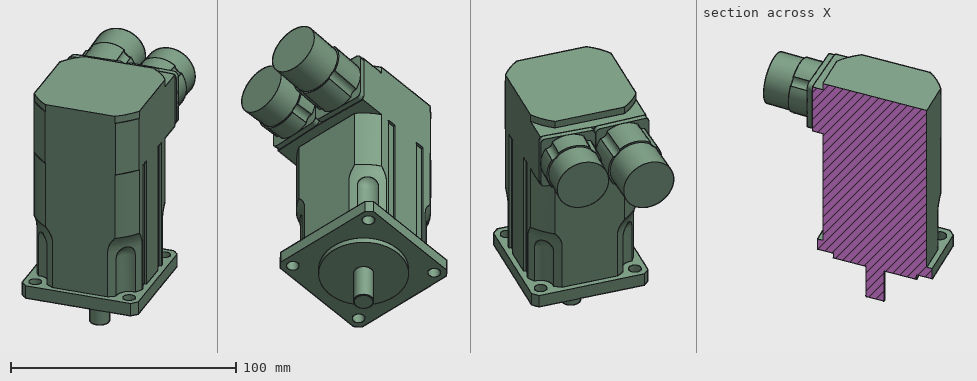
import cadquery as cq
import math


flange_width = 55.0
flange_corner_diameter = 74.1
flange_thickness = 6.2
hole_diameter = 5.6
hole_circle_diameter = 63.0
spigot_diameter = 40.0
spigot_height = 2.7
shaft_diameter = 9.0
shaft_end_z = -20.1
shaft_chamfer = 0.4

barrel_width = 49.8
barrel_corner_diameter = 59.7
total_height = 117.0
motor_top_z = shaft_end_z + total_height
waist_diameter = 56.3
waist_straight_z = 28.7
waist_top_z = 35.9

pocket_radius = 6.0
pocket_straight_z = 24.9

groove_width = 4.3
groove_offset = 9.5
groove_depth = 1.0

block_bottom_z = 67.6
block_height = 25.7
block_top_z = block_bottom_z + block_height
block_front_chamfer = 8.2
wedge_apex_y = 30.0
wedge_angle = 2.0

connector_z = 80.7
plate_width = 25.5
plate_thickness = 2.6
plate_corner_radius = 2.3
collar_diameter = 25.6
plug_diameter = 24.0
notch_radius = 3.0
power_collar_length = 15.2
power_plug_length = 16.3
signal_collar_length = 9.1
signal_plug_length = 12.4


def square_column(width, corner_diameter, bottom_z, top_z):
    """Square column with its four edges rounded by a concentric cylinder."""
    height = top_z - bottom_z
    square = cq.Workplane("XY", origin=(0, 0, bottom_z)).rect(width, width).extrude(height)
    cylinder = cq.Workplane("XY", origin=(0, 0, bottom_z)).circle(corner_diameter / 2).extrude(height)
    return square.intersect(cylinder)


def hole_points():
    """Centres of the four flange holes, on the diagonals."""
    offset = hole_circle_diameter / 2 / math.sqrt(2)
    return [(sx * offset, sy * offset) for sx in (-1, 1) for sy in (-1, 1)]


def make_flange():
    """Flange with its holes, spigot and shaft."""
    flange = square_column(flange_width, flange_corner_diameter, 0, flange_thickness)
    holes = cq.Workplane("XY").pushPoints(hole_points()).circle(hole_diameter / 2).extrude(flange_thickness)
    spigot = cq.Workplane("XY").circle(spigot_diameter / 2).extrude(-spigot_height)
    shaft = cq.Workplane("XY").circle(shaft_diameter / 2).extrude(shaft_end_z)
    shaft = shaft.faces("<Z").chamfer(shaft_chamfer)
    return flange.cut(holes).union(spigot).union(shaft)


def waist_cutter():
    """Ring that narrows the barrel corners to the waist, with an arc blend at its top."""
    inner = waist_diameter / 2
    outer = barrel_corner_diameter / 2
    clear = barrel_width
    rise = waist_top_z - waist_straight_z
    blend_radius = (rise**2 + (outer - inner) ** 2) / (2 * (outer - inner))
    half_angle = math.asin(rise / blend_radius) / 2
    blend_middle = (
        inner + blend_radius * (1 - math.cos(half_angle)),
        waist_straight_z + blend_radius * math.sin(half_angle),
    )
    return (
        cq.Workplane("XZ")
        .moveTo(inner, flange_thickness)
        .lineTo(inner, waist_straight_z)
        .threePointArc(blend_middle, (outer, waist_top_z))
        .lineTo(clear, waist_top_z)
        .lineTo(clear, flange_thickness)
        .close()
        .revolve(360, (0, 0, 0), (0, 1, 0))
    )


def pocket_cutter(x, y):
    """Round-topped pocket over one flange hole."""
    pocket = (
        cq.Workplane("XY", origin=(x, y, flange_thickness))
        .circle(pocket_radius)
        .extrude(pocket_straight_z - flange_thickness)
    )
    dome = cq.Workplane("XY", origin=(x, y, pocket_straight_z)).sphere(pocket_radius)
    return pocket.union(dome)


def groove_cutters():
    """Four vertical grooves, two in each flank, from the flange up to the connector block."""
    centres = [(sx * barrel_width / 2, sy * groove_offset) for sx in (-1, 1) for sy in (-1, 1)]
    return (
        cq.Workplane("XY", origin=(0, 0, flange_thickness))
        .pushPoints(centres)
        .rect(2 * groove_depth, groove_width)
        .extrude(block_bottom_z - flange_thickness)
    )


def make_barrel():
    """Motor barrel below the connector block, with its waist, screw pockets and grooves."""
    barrel = square_column(barrel_width, barrel_corner_diameter, flange_thickness, block_bottom_z)
    barrel = barrel.cut(waist_cutter()).cut(groove_cutters())
    for x, y in hole_points():
        barrel = barrel.cut(pocket_cutter(x, y))
    return barrel


def make_block():
    """Connector block: flat chamfers at the front and a wedge at the back."""
    half = barrel_width / 2
    front_half = half - block_front_chamfer
    wedge_side_y = wedge_apex_y - half * math.tan(math.radians(wedge_angle))
    return (
        cq.Workplane("XY", origin=(0, 0, block_bottom_z))
        .polyline([
            (-half, wedge_side_y),
            (-half, -front_half),
            (-front_half, -half),
            (front_half, -half),
            (half, -front_half),
            (half, wedge_side_y),
            (0, wedge_apex_y),
        ])
        .close()
        .extrude(block_height)
    )


def make_motor():
    """Flange, barrel, connector block and end cap as one body."""
    end_cap = square_column(barrel_width, barrel_corner_diameter, block_top_z, motor_top_z)
    return make_flange().union(make_barrel()).union(make_block()).union(end_cap)


def make_connector(side, collar_length, plug_length):
    """Connector on one face of the wedge: side is -1 for the -X face and +1 for the +X face."""
    angle = math.radians(wedge_angle)
    plane = cq.Plane(
        origin=(0, wedge_apex_y, connector_z),
        xDir=(side * math.cos(angle), -math.sin(angle), 0),
        normal=(side * math.sin(angle), math.cos(angle), 0),
    )
    base = cq.Workplane(plane).center(plate_width / 2, 0)
    plate = base.rect(plate_width, plate_width).extrude(plate_thickness)
    plate = plate.edges(cq.selectors.ParallelDirSelector(plane.zDir)).fillet(plate_corner_radius)

    collar_base = base.workplane(offset=plate_thickness)
    collar = collar_base.circle(collar_diameter / 2).extrude(collar_length)
    corner_spacing = plate_width - 2 * plate_corner_radius
    notches = (
        collar_base.rect(corner_spacing, corner_spacing, forConstruction=True)
        .vertices()
        .circle(notch_radius)
        .extrude(collar_length)
    )
    plug = collar_base.circle(plug_diameter / 2).extrude(collar_length + plug_length)
    return plate.union(collar).union(plug).cut(notches)


motor = make_motor()
power_connector = make_connector(-1, power_collar_length, power_plug_length)
signal_connector = make_connector(1, signal_collar_length, signal_plug_length)

result = cq.Compound.makeCompound([motor.val(), power_connector.val(), signal_connector.val()])